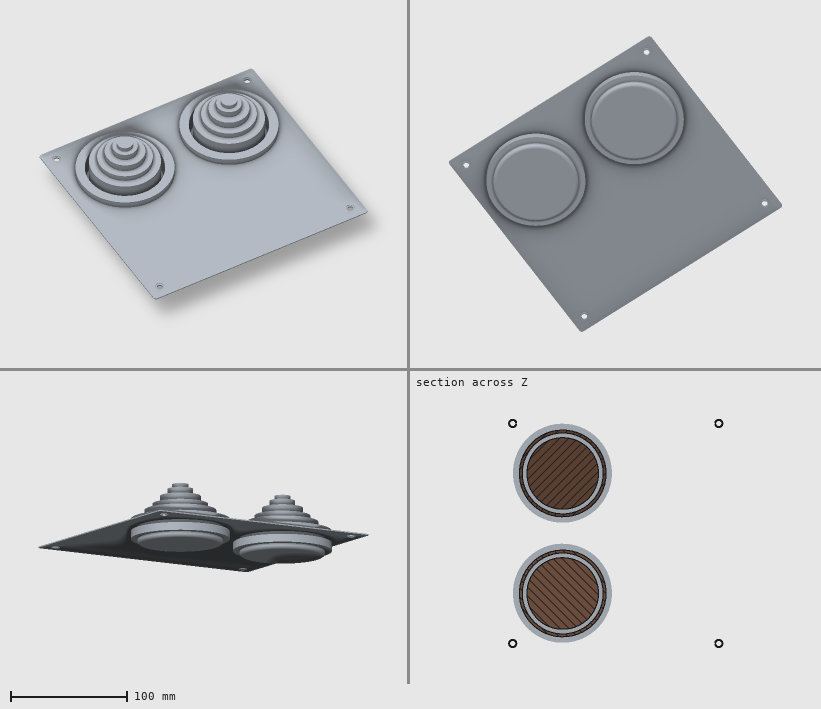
import cadquery as cq

PLATE_X = 200.0
PLATE_Y = 212.0
PLATE_THICKNESS = 1.0
PLATE_CORNER_RADIUS = 2.5

HOLE_INSET = 11.4
HOLE_RADIUS = 2.5
COUNTERBORE_RADIUS = 3.9
COUNTERBORE_DEPTH = 0.5
BOSS_RADIUS = 3.7
BOSS_HEIGHT = 0.8

UNIT_X = -PLATE_X / 2 + 54.4
UNIT_SPACING = 103.2
UNIT_Y_POSITIONS = (-UNIT_SPACING / 2, UNIT_SPACING / 2)

FLANGE_RADIUS = 42.6
FLANGE_HEIGHT = 6.2
LOWEST_TIER_RADIUS = 31.0
LOWEST_TIER_HEIGHT = 7.7
UPPER_TIERS = ((24.0, 5.5), (17.6, 6.8), (11.0, 6.2), (7.0, 4.1))

NECK_RADIUS = 37.5
NECK_LENGTH = 4.5
RING_RADIUS = FLANGE_RADIUS
RING_HEIGHT = 6.8
BASE_RADIUS = 36.8
BASE_HEIGHT = 4.7
BASE_FILLET = 3.0

RING_TOP = -NECK_LENGTH
BASE_TOP = RING_TOP - RING_HEIGHT
BASE_BOTTOM = BASE_TOP - BASE_HEIGHT

GROOVE_OUTER_RADIUS = 34.6
GROOVE_FLOOR_THICKNESS = 3.0
GROOVE_FLOOR = BASE_BOTTOM + GROOVE_FLOOR_THICKNESS


def disc(radius, bottom, height):
    return cq.Workplane("XY").workplane(offset=bottom).circle(radius).extrude(height)


def make_plate_blank():
    return (
        cq.Workplane("XY")
        .workplane(offset=-PLATE_THICKNESS)
        .rect(PLATE_X, PLATE_Y)
        .extrude(PLATE_THICKNESS)
        .edges("|Z")
        .fillet(PLATE_CORNER_RADIUS)
    )


def add_screw_holes(plate):
    boss_bottom = -PLATE_THICKNESS - BOSS_HEIGHT
    boss = disc(BOSS_RADIUS, boss_bottom, BOSS_HEIGHT)
    bore = disc(HOLE_RADIUS, boss_bottom, -boss_bottom)
    counterbore = disc(COUNTERBORE_RADIUS, -COUNTERBORE_DEPTH, COUNTERBORE_DEPTH)
    hole = bore.union(counterbore)

    for side_x in (-1, 1):
        for side_y in (-1, 1):
            hole_x = side_x * (PLATE_X / 2 - HOLE_INSET)
            hole_y = side_y * (PLATE_Y / 2 - HOLE_INSET)
            place = (hole_x, hole_y, 0)
            plate = plate.union(boss.translate(place))
            plate = plate.cut(hole.translate(place))
    return plate


def cut_unit_openings(plate):
    opening = disc(NECK_RADIUS, -PLATE_THICKNESS, PLATE_THICKNESS)
    for unit_y in UNIT_Y_POSITIONS:
        plate = plate.cut(opening.translate((UNIT_X, unit_y, 0)))
    return plate


def make_unit_body():
    base = disc(BASE_RADIUS, BASE_BOTTOM, BASE_HEIGHT).faces("<Z").edges().fillet(BASE_FILLET)
    ring = disc(RING_RADIUS, BASE_TOP, RING_HEIGHT)
    neck = disc(NECK_RADIUS, RING_TOP, NECK_LENGTH)
    flange = disc(FLANGE_RADIUS, 0, FLANGE_HEIGHT)
    return base.union(ring).union(neck).union(flange)


def make_groove():
    depth = FLANGE_HEIGHT - GROOVE_FLOOR
    core = disc(LOWEST_TIER_RADIUS, GROOVE_FLOOR, depth)
    return disc(GROOVE_OUTER_RADIUS, GROOVE_FLOOR, depth).cut(core)


def make_tiers():
    tiers = disc(LOWEST_TIER_RADIUS, FLANGE_HEIGHT, LOWEST_TIER_HEIGHT)
    tier_bottom = FLANGE_HEIGHT + LOWEST_TIER_HEIGHT
    for radius, height in UPPER_TIERS:
        tiers = tiers.union(disc(radius, tier_bottom, height))
        tier_bottom += height
    return tiers


def make_unit(unit_y):
    unit = make_unit_body().cut(make_groove()).union(make_tiers())
    return unit.translate((UNIT_X, unit_y, 0))


plate = cut_unit_openings(add_screw_holes(make_plate_blank()))
units = [make_unit(unit_y) for unit_y in UNIT_Y_POSITIONS]

result = cq.Compound.makeCompound([plate.val(), *[unit.val() for unit in units]])